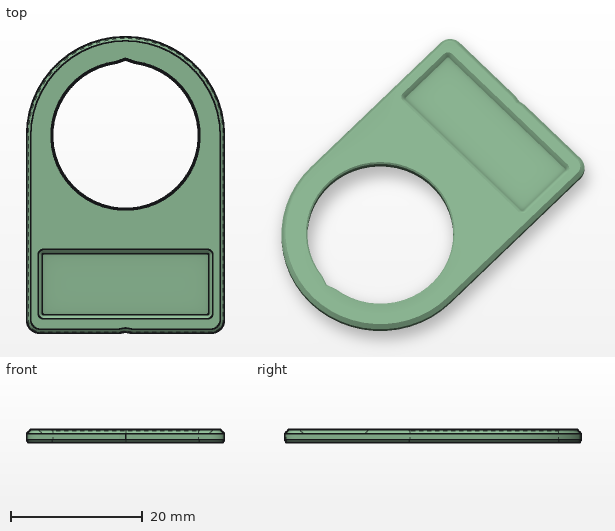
import cadquery as cq
import math

LENGTH = 45.0
WIDTH = 30.0
THICKNESS = 2.0
CORNER_RADIUS = 2.05
TOP_CHAMFER = 0.65
BOTTOM_BEVEL_HEIGHT = 0.4
BOTTOM_BEVEL_WIDTH = 0.22

HOLE_RADIUS = 11.05
RIM_CHAMFER = 0.22

FRONT_NOTCH_HALF_WIDTH = 1.0
FRONT_NOTCH_DEPTH = 0.2
HOLE_NOTCH_HALF_WIDTH = 1.4
HOLE_NOTCH_DEPTH = 0.4

RECESS_WIDTH = 26.5
RECESS_HEIGHT = 10.55
RECESS_MARGIN = 2.2
RECESS_CORNER = 0.85
RECESS_DEPTH = 0.65
RECESS_SLOPE = 45

END_RADIUS = WIDTH / 2
FRONT_Y = END_RADIUS - LENGTH


def make_plate():
    """Rounded plate with the front notch, bevelled around both faces."""
    plate = (
        cq.Workplane("XY", origin=(0, 0, BOTTOM_BEVEL_HEIGHT))
        .moveTo(-END_RADIUS, 0)
        .threePointArc((0, END_RADIUS), (END_RADIUS, 0))
        .lineTo(END_RADIUS, FRONT_Y)
        .lineTo(FRONT_NOTCH_HALF_WIDTH, FRONT_Y)
        .lineTo(0, FRONT_Y + FRONT_NOTCH_DEPTH)
        .lineTo(-FRONT_NOTCH_HALF_WIDTH, FRONT_Y)
        .lineTo(-END_RADIUS, FRONT_Y)
        .close()
        .extrude(THICKNESS - BOTTOM_BEVEL_HEIGHT)
    )
    front_corners = plate.edges("|Z").edges("<X or >X").edges("<Y")
    plate = front_corners.fillet(CORNER_RADIUS)
    bevel_angle = math.degrees(math.atan2(BOTTOM_BEVEL_WIDTH, BOTTOM_BEVEL_HEIGHT))
    plate = (
        plate.faces("<Z")
        .wires()
        .toPending()
        .workplane()
        .extrude(BOTTOM_BEVEL_HEIGHT, taper=bevel_angle)
    )
    return plate.faces(">Z").chamfer(TOP_CHAMFER)


def make_hole():
    """Notched round cutter with straight walls."""
    shoulder_y = math.sqrt(HOLE_RADIUS**2 - HOLE_NOTCH_HALF_WIDTH**2)
    outline = (
        cq.Workplane("XY")
        .moveTo(-HOLE_NOTCH_HALF_WIDTH, shoulder_y)
        .threePointArc((0, -HOLE_RADIUS), (HOLE_NOTCH_HALF_WIDTH, shoulder_y))
        .lineTo(0, HOLE_RADIUS + HOLE_NOTCH_DEPTH)
        .close()
    )
    return outline.extrude(THICKNESS)


def make_recess():
    """Cutter narrowing downward from the top face."""
    centre_y = FRONT_Y + RECESS_MARGIN + RECESS_HEIGHT / 2
    outline = cq.Sketch().rect(RECESS_WIDTH, RECESS_HEIGHT).vertices().fillet(RECESS_CORNER)
    return (
        cq.Workplane("XY", origin=(0, centre_y, THICKNESS))
        .placeSketch(outline)
        .extrude(-RECESS_DEPTH, taper=RECESS_SLOPE)
    )


def bevel_hole(plate, face_selector, height, width):
    """Bevel the hole where it meets one face of the plate."""
    face = plate.faces(face_selector)
    rims = face.val().innerWires()
    return face.newObject(rims).edges().chamfer(height, width)


plate = make_plate().cut(make_hole())
plate = bevel_hole(plate, ">Z", RIM_CHAMFER, RIM_CHAMFER)
plate = bevel_hole(plate, "<Z", BOTTOM_BEVEL_HEIGHT, BOTTOM_BEVEL_WIDTH)
result = plate.cut(make_recess())